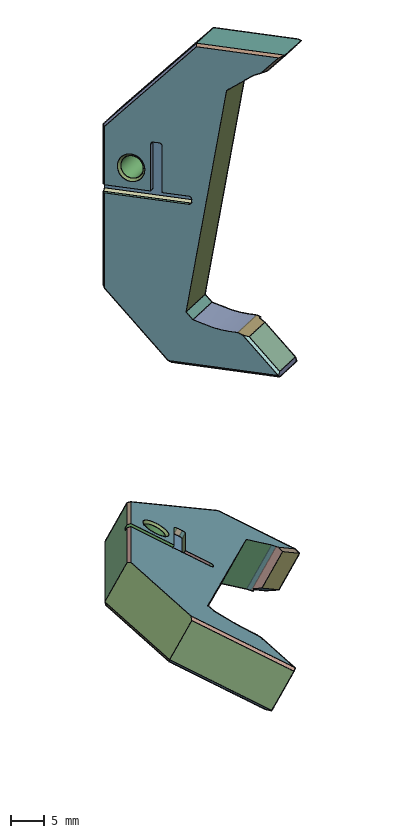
import cadquery as cq
import math

height = 51.73
thickness = 8.01
upper_reach = 29.31
lower_reach = 28.36

upper_corner = 15.0
lower_corner = 11.0

upper_tip_run = 2.9
lower_tip_flat = 0.9
lower_tip_run = 4.9

upper_jaw_bend = (25.1, 48.3)
upper_jaw_shoulder = (24.3, 47.95)
upper_throat = (20.0, 44.95)
lower_throat = (13.5, 8.58)
throat_relief = 1.1
lower_jaw_middle = (18.5, 6.55)
lower_jaw_flat_end = (21.8, 6.4)
lower_jaw_start_slope = -0.235

edge_bevel = 0.4
edge_bevel_depth = 0.45
back_tip_bevel = 0.95
bevel_overrun = 1.0

hole_x = 4.67
hole_z = 30.5
hole_diameter = 3.6
hole_bevel = 0.4

groove_depth = 1.02
bar_length = 14.4
bar_bottom = 25.9
bar_width = 1.3
groove_corner_radius = 0.5
bar_lip_depth = 0.6
bar_floor_rise = 0.4
stem_left = 7.78
stem_width = 1.88
stem_top = 35.1

spine_bottom = (0, lower_corner)
spine_top = (0, height - upper_corner)
top_left = (upper_corner, height)
upper_tip = (upper_reach, height)
upper_tip_inner = (upper_reach - upper_tip_run, height - upper_tip_run)
lower_tip_inner = (lower_reach - lower_tip_run, lower_tip_flat + lower_tip_run)
lower_tip = (lower_reach, lower_tip_flat)
bottom_right = (lower_reach, 0)
bottom_left = (lower_corner, 0)


def make_body():
    relief_end = (lower_throat[0] + throat_relief, lower_throat[1] - throat_relief)
    into_throat = [upper_tip_inner, upper_jaw_bend, upper_jaw_shoulder, upper_throat, lower_throat]
    outline = cq.Workplane("XZ").moveTo(*spine_bottom)
    for point in [spine_top, top_left, upper_tip] + into_throat + [relief_end]:
        outline = outline.lineTo(*point)
    outline = outline.spline(
        [lower_jaw_middle, lower_jaw_flat_end],
        tangents=[(1, lower_jaw_start_slope), (1, 0)],
        includeCurrent=True,
    )
    for point in [lower_tip_inner, lower_tip, bottom_right, bottom_left]:
        outline = outline.lineTo(*point)
    return outline.close().extrude(-thickness)


def bevel_cutter(start, end, y_face, inward, width, depth):
    """Wedge that bevels one edge of a side face.

    The edge runs from start to end, as (X, Z), with the body on its right. The wedge takes
    width off the side face at y_face and depth along Y; inward is the Y direction (+1 or -1)
    from that face into the body. It overruns both ends of the edge so that it runs out cleanly.
    """
    length = math.dist(start, end)
    along = cq.Vector((end[0] - start[0]) / length, 0, (end[1] - start[1]) / length)
    into_face = cq.Vector(along.z, 0, -along.x)
    origin = cq.Vector(start[0], y_face, start[1]) - along * bevel_overrun
    plane = cq.Plane(origin, xDir=into_face, normal=along)
    deep = inward * plane.yDir.y
    section = [
        (2 * width, -deep * depth),
        (-width, 2 * deep * depth),
        (-width, -deep * depth),
    ]
    wedge = cq.Workplane(plane).polyline(section).close()
    return wedge.extrude(length + 2 * bevel_overrun)


def bevel_edges(body):
    plain_edges = [
        (spine_bottom, spine_top),
        (spine_top, top_left),
        (top_left, upper_tip),
        (bottom_right, bottom_left),
    ]
    tip_edges = [(upper_tip, upper_tip_inner), (lower_tip_inner, lower_tip)]
    lower_slope = (bottom_left, spine_bottom)

    for start, end in plain_edges + tip_edges:
        body = body.cut(bevel_cutter(start, end, 0, 1, edge_bevel, edge_bevel_depth))
    for start, end in plain_edges + [lower_slope]:
        body = body.cut(bevel_cutter(start, end, thickness, -1, edge_bevel, edge_bevel_depth))
    for start, end in tip_edges:
        body = body.cut(bevel_cutter(start, end, thickness, -1, back_tip_bevel, back_tip_bevel))
    return body


def make_hole():
    radius = hole_diameter / 2
    drill = cq.Workplane("XZ", origin=(hole_x, 0, hole_z)).circle(radius).extrude(-thickness)
    mouth = cq.Solid.makeCone(
        radius + hole_bevel, radius, hole_bevel, cq.Vector(hole_x, 0, hole_z), cq.Vector(0, 1, 0)
    )
    return drill.union(cq.Workplane(mouth))


def groove_block(x, z, x_size, z_size):
    """Box of groove depth behind the front face, with its lower left corner at (x, z)."""
    return cq.Workplane("XY").box(x_size, groove_depth, z_size, centered=False).translate((x, 0, z))


def make_groove():
    bar_top = bar_bottom + bar_width
    bar_section = [
        (0, bar_bottom),
        (bar_lip_depth, bar_bottom),
        (groove_depth, bar_bottom + bar_floor_rise),
        (groove_depth, bar_top),
        (0, bar_top),
    ]
    profile = cq.Workplane("YZ").polyline(bar_section).close().extrude(bar_length)
    bar_blank = groove_block(0, bar_bottom, bar_length, bar_width)
    bar = bar_blank.edges("|Y and >X").fillet(groove_corner_radius).intersect(profile)

    stem_base = bar_top - bar_width / 2
    stem_blank = groove_block(stem_left, stem_base, stem_width, stem_top - stem_base)
    stem = stem_blank.edges("|Y and >Z").fillet(groove_corner_radius)
    return bar.union(stem)


result = bevel_edges(make_body()).cut(make_hole()).cut(make_groove())